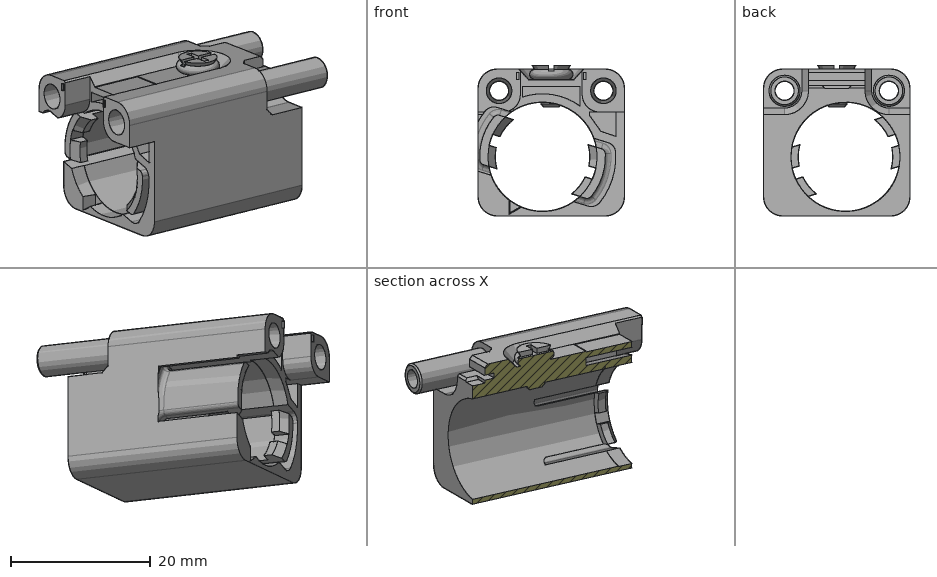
import cadquery as cq
import math

width = 21.0
height = 21.08
corner_radius = 2.8
block_front = 4.5
block_back = 31.45
shoulder_back = 25.05

bore_x = -1.25
bore_z = 8.5
bore_radius = 7.8
mouth_radius = 7.84
mouth_end = 6.75

pin_x = 7.47
pin_z = 17.95
post_reach = 3.04
post_round = 2.5
tube_radius = 2.23
tube_end = 36.9
tube_chamfer = 0.25
hole_front_radius = 1.83
hole_back_radius = 1.35

recess_round = 3.42
recess_chamfer = 0.95
recess_chamfer_angle = 45.0

pad_x = 4.8
pad_z = 20.1
pad_width = 0.3
pad_height = 1.0
pad_rise = 0.25

latch_tilt = 17.0
moat_outer_radius = 10.5
moat_low = -4.85
moat_high = 4.68
moat_corner = 1.6
moat_end = 17.1
panel_outer_radius = 9.0
panel_low = -3.87
panel_high = 3.57
panel_corner = 0.8
root_fillet = 0.8
latch_overlap = 0.3

lip_low_z = 13.0
lip_high_z = 14.57
lip_depth_x = 0.8
lip_end = 17.0

tooth_inner_radius = 6.75
tooth_gap_low = -0.97
tooth_gap_high = 0.67
tooth_ramp_length = 1.0
tooth_ramp_end = block_front + tooth_ramp_length
tooth_end = mouth_end

screw_y = 20.7
channel_half_top = 4.67
channel_half_floor = 3.28
floor_z = 19.6
floor_step = 0.1
floor_step_y = 12.2

hollow_end = floor_step_y
window_half_width = 4.09
window_top = 18.55
window_arc_radius = 9.02
side_hollow_left = 5.5
side_hollow_right = 9.3
side_hollow_left_z = 14.4
side_hollow_bend_x = 7.1
side_hollow_bend_z = 12.15
side_hollow_right_z = 11.4

screw_top = 21.59
head_radius = 3.1
head_top = 21.0
crown_top_radius = 2.75
drive_width = 0.75
drive_cross_length = 4.0
drive_depth = 0.8
shank_radius = 1.5
tip_z = 15.6
tip_radius = 1.05

back_step_y = 29.4
back_step_z = 18.7
slit_front_y = 27.8
slit_top_z = 19.4
back_step_chamfer = 0.5
notch_half_width = 1.65
notch_depth = 0.45
shelf_chamfer = 0.33

key_x = -6.06
key_low_z = 0.25
key_side_z = 2.3
key_end_x = -4.28
key_end_z = 1.27
key_draft = 3.0

tolerance = 0.01


def front_plane(y):
    """Plane facing -Y at the given Y, with X to the right and Z up."""
    return cq.Workplane("XZ", origin=(0, y, 0))


def box(x0, x1, y0, y1, z0, z1):
    """Box between the given limits."""
    return cq.Workplane("XY").box(x1 - x0, y1 - y0, z1 - z0, False).translate((x0, y0, z0))


def rounded_block(y0, y1):
    """The block's rounded square section between two Y positions."""
    solid = box(-width / 2, width / 2, y0, y1, 0, height)
    return solid.edges("|Y").fillet(corner_radius)


def both_sides(solid):
    """The solid together with its mirror image across X = 0."""
    return solid.union(solid.mirror("YZ"))


def posts():
    """Two hollow posts that stand out in front of the block's upper corners."""
    zone = box(pin_x - post_reach, width, 0, block_front, pin_z - post_reach, height)
    zone = zone.edges("|Y and <X and <Z").fillet(post_round)
    return rounded_block(0, block_front).intersect(both_sides(zone))


def marker_pads():
    pad = box(pad_x - pad_width / 2, pad_x + pad_width / 2, -pad_rise, 0,
              pad_z - pad_height / 2, pad_z + pad_height / 2)
    return both_sides(pad)


def tube_recesses():
    """Cuts behind the shoulder that clear the tubes, with a sloped front end."""
    straight_start = shoulder_back + recess_chamfer
    reach = width

    def section(y, length, taper):
        core = front_plane(y).center(pin_x, pin_z).rect(reach, reach, centered=False)
        return core.offset2D(recess_round).extrude(length, taper=taper)

    straight = section(block_back, block_back - straight_start, 0)
    sloped = section(straight_start, recess_chamfer, recess_chamfer_angle)
    return both_sides(straight.union(sloped))


def tubes():
    tube = front_plane(tube_end).center(pin_x, pin_z).circle(tube_radius)
    tube = tube.extrude(tube_end - shoulder_back).faces(">Y").chamfer(tube_chamfer)
    return both_sides(tube)


def pin_holes():
    hole = front_plane(0).center(pin_x, pin_z).circle(hole_front_radius)
    hole = hole.workplane(offset=-tube_end).circle(hole_back_radius).loft()
    return both_sides(hole)


def latch_sector(side, inner, outer, low, high, y0, y1):
    """Part of a ring about the bore between two lines along the latch direction."""
    tilt = math.radians(latch_tilt)
    x_dir = (side * math.cos(tilt), 0, -side * math.sin(tilt))
    plane = cq.Plane(origin=(bore_x, y1, bore_z), xDir=x_dir, normal=(0, -1, 0))

    def at(radius, v):
        return (math.sqrt(radius ** 2 - v ** 2), v)

    middle = (low + high) / 2
    outline = cq.Workplane(plane).moveTo(*at(inner, low)).lineTo(*at(outer, low))
    outline = outline.threePointArc(at(outer, middle), at(outer, high)).lineTo(*at(inner, high))
    outline = outline.threePointArc(at(inner, middle), at(inner, low)).close()
    return outline.extrude(y1 - y0)


def outer_corner_edges(solid, radius):
    """Edges along Y that lie at the given radius from the bore axis."""
    def is_outer(edge):
        middle = edge.Center()
        return math.hypot(middle.x - bore_x, middle.z - bore_z) > radius - tolerance

    edges = [edge for edge in solid.edges("|Y").vals() if is_outer(edge)]
    return solid.newObject(edges)


def latch_moat(side):
    """Cut that frees one latch panel, with a fillet left at the panel's root."""
    inside = bore_radius - latch_overlap
    moat = latch_sector(side, inside, moat_outer_radius, moat_low, moat_high, 0, moat_end)
    moat = outer_corner_edges(moat, moat_outer_radius).fillet(moat_corner)
    panel = latch_sector(side, inside - latch_overlap, panel_outer_radius, panel_low, panel_high,
                         block_front, moat_end)
    panel = outer_corner_edges(panel, panel_outer_radius).fillet(panel_corner)
    moat = moat.cut(panel)
    tilt = math.radians(latch_tilt)

    def is_root(edge):
        """True for floor edges that lie along the outline of the panel."""
        middle = edge.positionAt(0.5)
        x = middle.x - bore_x
        z = middle.z - bore_z
        radius = math.hypot(x, z)
        across = side * (x * math.sin(tilt) + z * math.cos(tilt))
        on_panel = inside + tolerance < radius < panel_outer_radius + tolerance
        return on_panel and panel_low - tolerance < across < panel_high + tolerance

    roots = [edge for edge in moat.faces(">Y").edges().vals() if is_root(edge)]
    return moat.newObject(roots).fillet(root_fillet)


def side_opening():
    """Cut through the left side wall at the top of the latch moat."""
    left = -width / 2
    return box(left, left + lip_depth_x, block_front, lip_end, lip_low_z, lip_high_z)


def tooth_ring():
    """Ring with a sloped front, from which the latch teeth are taken."""
    root = bore_radius + latch_overlap
    points = [(root, block_front), (bore_radius, block_front), (tooth_inner_radius, tooth_ramp_end),
              (tooth_inner_radius, tooth_end), (root, tooth_end)]
    ring = cq.Workplane("XY").polyline(points).close().revolve(360, (0, 0, 0), (0, 1, 0))
    return ring.translate((bore_x, 0, bore_z))


def teeth():
    """Two teeth on each latch panel."""
    ring = tooth_ring()
    inner = tooth_inner_radius - latch_overlap
    outer = bore_radius + latch_overlap
    all_teeth = cq.Workplane()
    for side in (1, -1):
        for low, high in ((tooth_gap_high, panel_high), (panel_low, tooth_gap_low)):
            sector = latch_sector(side, inner, outer, low, high, block_front, block_back)
            all_teeth = all_teeth.add(ring.intersect(sector))
    return all_teeth.combine()


def channel():
    """Open channel along the top, ending in half a cone around the screw."""
    profile = [(-channel_half_floor, floor_z), (channel_half_floor, floor_z),
               (channel_half_top, height), (-channel_half_top, height)]
    trough = front_plane(screw_y).polyline(profile).close().extrude(screw_y)
    end = cq.Workplane("XY", origin=(0, screw_y, floor_z)).circle(channel_half_floor)
    end = end.workplane(offset=height - floor_z).circle(channel_half_top).loft()
    step = box(-channel_half_floor, channel_half_floor, block_front, floor_step_y,
               floor_z - floor_step, floor_z)
    return trough.union(end).union(step)


def screw():
    """Screw with a rounded head, a flared crown with a cross drive, and a tapered tip."""
    bulge = (head_top - floor_z) / 2
    neck_radius = head_radius - bulge
    taper_top = tip_z + shank_radius - tip_radius
    half = cq.Workplane("XZ").moveTo(0, tip_z).lineTo(tip_radius, tip_z)
    half = half.lineTo(shank_radius, taper_top).lineTo(shank_radius, floor_z).lineTo(neck_radius, floor_z)
    half = half.threePointArc((head_radius, floor_z + bulge), (neck_radius, head_top))
    half = half.lineTo(crown_top_radius, screw_top).lineTo(0, screw_top).close()
    body = half.revolve(360, (0, 0, 0), (0, 1, 0))

    drive_bottom = screw_top - drive_depth
    half_slot = drive_width / 2
    half_cross = drive_cross_length / 2
    slot = box(-half_slot, half_slot, -head_radius, head_radius, drive_bottom, screw_top)
    cross = box(-half_cross, half_cross, -half_slot, half_slot, drive_bottom, screw_top)
    return body.cut(slot).cut(cross).translate((0, screw_y, 0))


def window_hollow():
    """Blind hollow above the bore, with an arc for its lower side."""
    depth = hollow_end - block_front
    block = box(-window_half_width, window_half_width, block_front, hollow_end, bore_z, window_top)
    core = front_plane(hollow_end).center(bore_x, bore_z).circle(window_arc_radius).extrude(depth)
    return block.cut(core)


def side_hollow():
    """Blind hollow in the front face below the right post."""
    top = pin_z - post_reach
    points = [(side_hollow_left, top), (side_hollow_right, top), (side_hollow_right, side_hollow_right_z),
              (side_hollow_bend_x, side_hollow_bend_z), (side_hollow_left, side_hollow_left_z)]
    return front_plane(hollow_end).polyline(points).close().extrude(hollow_end - block_front)


def keyway():
    """Blind V-shaped cut in the mouth of the bore, with drafted sides."""
    points = [(key_x, key_side_z), (key_x, key_low_z), (key_end_x, key_end_z), (key_end_x, key_side_z)]
    work = front_plane(block_front).polyline(points).close()
    return work.extrude(block_front - mouth_end, taper=key_draft)


def back_step():
    """Cut that lowers the top at the back, between the two tube recesses."""
    half = pin_x - recess_round
    profile = [(back_step_y, back_step_z), (block_back - shelf_chamfer, back_step_z),
               (block_back, back_step_z - shelf_chamfer), (block_back, height),
               (back_step_y - back_step_chamfer, height), (back_step_y, height - back_step_chamfer)]
    step = cq.Workplane("YZ").polyline(profile).close().extrude(half, both=True)
    low = back_step_z - notch_depth
    wide = notch_half_width + notch_depth
    notch = [(-notch_half_width, low), (notch_half_width, low), (wide, back_step_z), (-wide, back_step_z)]
    notch = front_plane(block_back).polyline(notch).close().extrude(block_back - back_step_y)
    slit = box(-half, half, slit_front_y, back_step_y, back_step_z, slit_top_z)
    return step.union(notch).union(slit)


def bore():
    main = front_plane(block_back).center(bore_x, bore_z).circle(bore_radius).extrude(block_back)
    mouth = front_plane(mouth_end).center(bore_x, bore_z).circle(mouth_radius).extrude(mouth_end)
    return main.union(mouth)


result = rounded_block(block_front, block_back).union(posts())
result = result.cut(tube_recesses()).cut(back_step()).cut(channel())
result = result.cut(latch_moat(1)).cut(latch_moat(-1)).cut(side_opening())
result = result.cut(bore()).cut(keyway()).cut(window_hollow()).cut(side_hollow())
result = result.union(teeth()).union(tubes()).cut(pin_holes())
result = result.union(marker_pads()).union(screw())